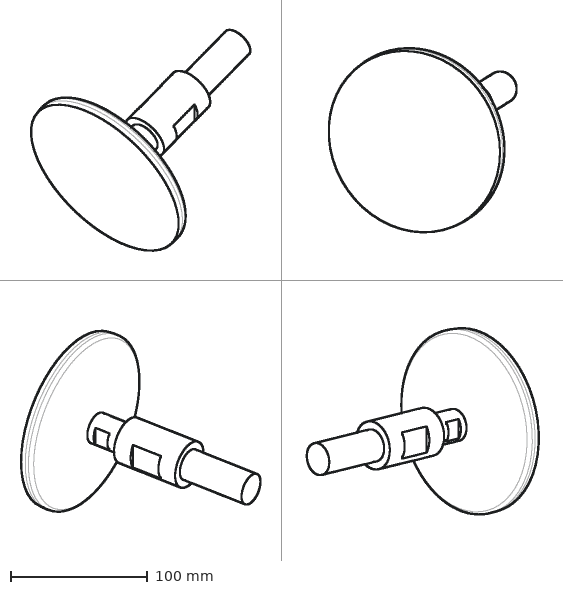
import cadquery as cq

total_length = 158.0

plate_diameter = 138.0
rim_top = 9.5
rim_fillet = 3.0
draft_height = 4.1
draft_inset = 0.3
cone_top = 19.3

spindle_diameter = 24.0
spindle_flat_width = 19.0
spindle_flat_start = 25.0
spindle_flat_length = 12.5

sleeve_diameter = 36.0
sleeve_start = 47.5
sleeve_length = 55.0
sleeve_flat_width = 30.0
sleeve_flat_length = 25.0

plate_radius = plate_diameter / 2
spindle_radius = spindle_diameter / 2


def cylinder_along_y(diameter, start, length):
    """Cylinder on the Y axis, from start to start + length."""
    cylinder = cq.Workplane("XZ").circle(diameter / 2).extrude(-length)
    return cylinder.translate((0, start, 0))


def cut_wrench_flats(body, body_diameter, flat_width, start, length):
    """Cut two opposite flats, facing -X and +X, into a round body."""
    depth = (body_diameter - flat_width) / 2
    for side in (-1, 1):
        cutter = cq.Workplane("XY").box(depth, length, body_diameter)
        center_x = side * (flat_width + depth) / 2
        body = body.cut(cutter.translate((center_x, start + length / 2, 0)))
    return body


def make_foot():
    """Conical foot plate and spindle, turned as one piece."""
    plate_and_spindle = (
        cq.Workplane("XY")
        .polyline([
            (0, 0),
            (plate_radius - draft_inset, 0),
            (plate_radius, draft_height),
            (plate_radius, rim_top),
            (spindle_radius, cone_top),
            (spindle_radius, total_length),
            (0, total_length),
        ])
        .close()
        .revolve(360, (0, 0, 0), (0, 1, 0))
    )
    rim_corner = cq.selectors.BoxSelector(
        (-plate_radius, rim_top - rim_fillet / 2, -plate_radius),
        (plate_radius, rim_top + rim_fillet / 2, plate_radius),
    )
    rounded = plate_and_spindle.edges("%CIRCLE").edges(rim_corner).fillet(rim_fillet)
    return cut_wrench_flats(
        rounded, spindle_diameter, spindle_flat_width, spindle_flat_start, spindle_flat_length
    )


def make_sleeve():
    """Sleeve around the spindle, with wrench flats at mid-length."""
    outside = cylinder_along_y(sleeve_diameter, sleeve_start, sleeve_length)
    bore = cylinder_along_y(spindle_diameter, sleeve_start, sleeve_length)
    flat_start = sleeve_start + (sleeve_length - sleeve_flat_length) / 2
    return cut_wrench_flats(
        outside.cut(bore), sleeve_diameter, sleeve_flat_width, flat_start, sleeve_flat_length
    )


foot = make_foot()
sleeve = make_sleeve()

result = cq.Compound.makeCompound([foot.val(), sleeve.val()])